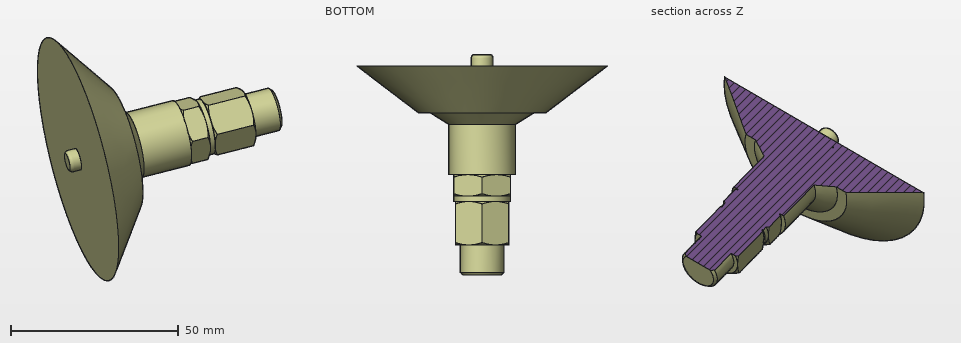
import cadquery as cq
import math

cup_radius = 37.5
cup_back_radius = 19.05
cup_depth = 14.0
collar_radius = 15.5
collar_end = 17.5

body_diameter = 20.0
body_end = 32.5

lock_nut_flats = 17.0
lock_nut_end = 38.9
ring_diameter = lock_nut_flats
ring_end = 40.5
long_nut_flats = 16.0
long_nut_end = 53.5
nut_chamfer_angle = 30.0

stem_diameter = 13.1
stem_end = 62.5
stem_chamfer = 0.8

pin_diameter = 6.6
pin_length = 3.4
pin_tip_diameter = 5.25
pin_tip_height = 1.1


def cylinder(diameter, start, end):
    """Cylinder along +Y between two Y positions."""
    plane = cq.Workplane("XZ", origin=(0, start, 0))
    return plane.circle(diameter / 2).extrude(start - end)


def cone(start_radius, end_radius, start, end):
    """Solid truncated cone along +Y."""
    profile = [(0, start), (start_radius, start), (end_radius, end), (0, end)]
    return cq.Workplane("XY").polyline(profile).close().revolve(360, (0, 0), (0, 1))


def hex_nut(flats, start, end):
    """Hexagon with flats facing +/-X and conically chamfered corners at both ends."""
    flat_radius = flats / 2
    corner_radius = flat_radius / math.cos(math.radians(30))
    chamfer = (corner_radius - flat_radius) * math.tan(math.radians(nut_chamfer_angle))
    prism = (
        cq.Workplane("XZ", origin=(0, start, 0))
        .polygon(6, 2 * corner_radius)
        .extrude(start - end)
        .rotate((0, 0, 0), (0, 1, 0), 30)
    )
    envelope_profile = [
        (0, start),
        (flat_radius, start),
        (corner_radius, start + chamfer),
        (corner_radius, end - chamfer),
        (flat_radius, end),
        (0, end),
    ]
    envelope = cq.Workplane("XY").polyline(envelope_profile).close().revolve(360, (0, 0), (0, 1))
    return prism.intersect(envelope)


def rounded_pin():
    """Pin along -Y whose tip arc leaves the side tangentially and ends at the flat tip circle."""
    side_radius = pin_diameter / 2
    tip_radius = pin_tip_diameter / 2
    shoulder = pin_tip_height - pin_length
    profile = (
        cq.Workplane("XY")
        .lineTo(side_radius, 0)
        .lineTo(side_radius, shoulder)
        .tangentArcPoint((tip_radius, -pin_length), relative=False)
        .lineTo(0, -pin_length)
        .close()
    )
    return profile.revolve(360, (0, 0), (0, 1))


cup = cone(cup_radius, cup_back_radius, 0, cup_depth)
collar_cone = cone(collar_radius, body_diameter / 2, cup_depth, collar_end)

body = cylinder(body_diameter, collar_end, body_end)
lock_nut = hex_nut(lock_nut_flats, body_end, lock_nut_end)
ring = cylinder(ring_diameter, lock_nut_end, ring_end)
long_nut = hex_nut(long_nut_flats, ring_end, long_nut_end)
stem = cylinder(stem_diameter, long_nut_end, stem_end).faces(">Y").chamfer(stem_chamfer)

pin = rounded_pin()

result = cup
for piece in (collar_cone, body, lock_nut, ring, long_nut, stem, pin):
    result = result.union(piece)